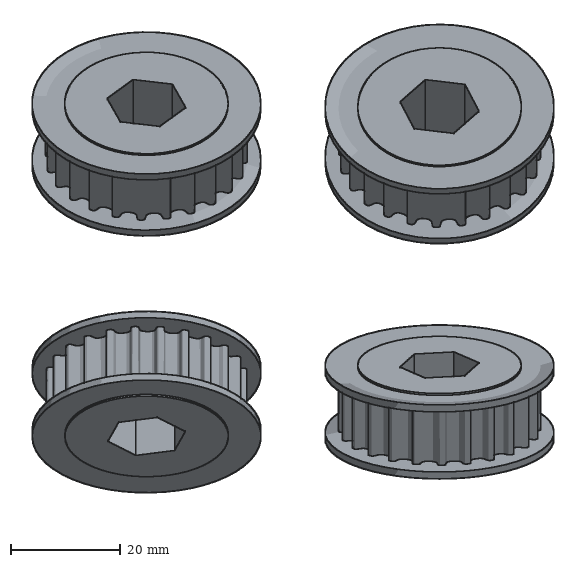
import cadquery as cq
import math

TOOTH_COUNT = 24
BELT_PITCH = 5.0
PITCH_LINE_OFFSET = 0.5715
TOOTH_TIP_RADIUS = TOOTH_COUNT * BELT_PITCH / (2 * math.pi) - PITCH_LINE_OFFSET

GROOVE_DEPTH = 2.02
FLOOR_HALF_WIDTH = 0.19
BOTTOM_RADIUS = 1.6
BOTTOM_ARC_ANGLE = math.radians(32)
ROOT_RADIUS = 0.9
WALL_ANGLE = math.radians(74)
CORNER_RADIUS = 0.6

TOTAL_HEIGHT = 14.5
BELT_WIDTH = 11.0

FLANGE_RADIUS = 21.0
BEND_RADIUS = TOOTH_TIP_RADIUS
BEND_RISE = 0.375
FLANGE_THICKNESS = (TOTAL_HEIGHT - BELT_WIDTH) / 2 - BEND_RISE

HUB_RADIUS = 15.0

HEX_ACROSS_FLATS = 12.7
HEX_ACROSS_CORNERS = HEX_ACROSS_FLATS / math.cos(math.pi / 6)


def centred_cylinder(radius, height):
    return cq.Workplane("XY").circle(radius).extrude(height / 2, both=True)


def point_on_arc(centre, radius, angle):
    return (centre[0] + radius * math.cos(angle), centre[1] + radius * math.sin(angle))


def mirrored(point):
    return (point[0], -point[1])


def belt_groove():
    """Cutter for one groove on the +X side, flaring out along the rounded tooth corners."""
    floor_x = TOOTH_TIP_RADIUS - GROOVE_DEPTH
    floor_end = (floor_x, FLOOR_HALF_WIDTH)
    bottom_centre = (floor_x + BOTTOM_RADIUS, FLOOR_HALF_WIDTH)
    bottom_middle = point_on_arc(bottom_centre, BOTTOM_RADIUS, math.pi - BOTTOM_ARC_ANGLE / 2)
    bottom_end = point_on_arc(bottom_centre, BOTTOM_RADIUS, math.pi - BOTTOM_ARC_ANGLE)

    root_centre = point_on_arc(bottom_end, ROOT_RADIUS, -BOTTOM_ARC_ANGLE)
    root_middle_angle = math.pi - (BOTTOM_ARC_ANGLE + WALL_ANGLE) / 2
    root_middle = point_on_arc(root_centre, ROOT_RADIUS, root_middle_angle)
    root_end = point_on_arc(root_centre, ROOT_RADIUS, math.pi - WALL_ANGLE)

    wall_x = math.sin(WALL_ANGLE)
    wall_y = math.cos(WALL_ANGLE)
    offset_x, offset_y = point_on_arc(root_end, CORNER_RADIUS, math.pi - WALL_ANGLE)
    along_wall = offset_x * wall_x + offset_y * wall_y
    across_wall = offset_y * wall_x - offset_x * wall_y
    corner_distance = TOOTH_TIP_RADIUS - CORNER_RADIUS
    wall_length = math.sqrt(corner_distance**2 - across_wall**2) - along_wall
    wall_end = (root_end[0] + wall_length * wall_x, root_end[1] + wall_length * wall_y)

    corner_centre = (offset_x + wall_length * wall_x, offset_y + wall_length * wall_y)
    tip_angle = math.atan2(corner_centre[1], corner_centre[0])
    corner_middle = point_on_arc(corner_centre, CORNER_RADIUS, (tip_angle - WALL_ANGLE) / 2)
    tip = point_on_arc(corner_centre, CORNER_RADIUS, tip_angle)

    outer_corner = (FLANGE_RADIUS, tip[1])
    return (
        cq.Workplane("XY", origin=(0, 0, -BELT_WIDTH / 2))
        .moveTo(*mirrored(floor_end))
        .lineTo(*floor_end)
        .threePointArc(bottom_middle, bottom_end)
        .threePointArc(root_middle, root_end)
        .lineTo(*wall_end)
        .threePointArc(corner_middle, tip)
        .lineTo(*outer_corner)
        .lineTo(*mirrored(outer_corner))
        .lineTo(*mirrored(tip))
        .threePointArc(mirrored(corner_middle), mirrored(wall_end))
        .lineTo(*mirrored(root_end))
        .threePointArc(mirrored(root_middle), mirrored(bottom_end))
        .threePointArc(mirrored(bottom_middle), mirrored(floor_end))
        .close()
        .extrude(BELT_WIDTH)
    )


def toothed_core():
    core = centred_cylinder(TOOTH_TIP_RADIUS, BELT_WIDTH)
    groove = belt_groove()
    for index in range(TOOTH_COUNT):
        angle = index * 360 / TOOTH_COUNT
        core = core.cut(groove.rotate((0, 0, 0), (0, 0, 1), angle))
    return core


def upper_flange():
    inner_z = BELT_WIDTH / 2
    outer_z = inner_z + FLANGE_THICKNESS
    return (
        cq.Workplane("XZ")
        .moveTo(0, inner_z)
        .lineTo(BEND_RADIUS, inner_z)
        .lineTo(FLANGE_RADIUS, inner_z + BEND_RISE)
        .lineTo(FLANGE_RADIUS, outer_z + BEND_RISE)
        .lineTo(BEND_RADIUS, outer_z)
        .lineTo(0, outer_z)
        .close()
        .revolve(360, (0, 0, 0), (0, 1, 0))
    )


def hex_bore():
    return cq.Workplane("XY").polygon(6, HEX_ACROSS_CORNERS).extrude(TOTAL_HEIGHT, both=True)


flange = upper_flange()
pulley = toothed_core().union(flange).union(flange.mirror("XY"))
pulley = pulley.union(centred_cylinder(HUB_RADIUS, TOTAL_HEIGHT))
result = pulley.cut(hex_bore())